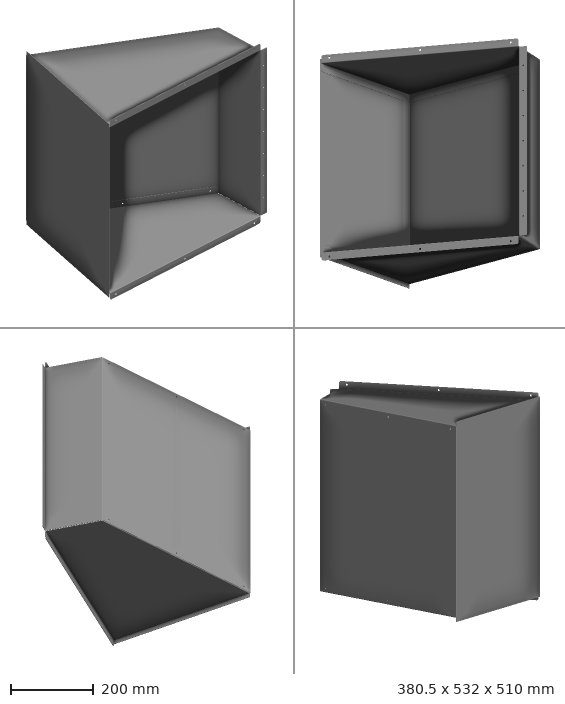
import cadquery as cq
import math

sheet = 1.2
bend_inner = 0.5
bend_outer = bend_inner + sheet

overall_height = 510.0
half_height = 236.0
wrap_half = 234.4
plate_half = 246.0
joint_bottom = 215.0
flange_half = joint_bottom

side_depth = 147.0
tab_tip = (-380.47, -421.0)
front_y = -511.96
plate_setback = 1.5

wrap_mount_width = 20.0
front_flange = 30.0
flange_setback = 1.5
flange_corner = 5.0
wrap_mount_corner = 2.0
mount_gap = 2.0
mount_end = 4.0

mount_hole = 5.0
mount_hole_height = 247.0
mount_hole_margin = 20.0
wrap_mount_hole = 3.7
wrap_mount_pitch = 62.3
wrap_mount_count = 7
joint_hole = 4.0
joint_hole_height = 225.4
joint_hole_margin = 21.0
joint_hole_count = 3


def along(start, end, distance):
    """Point at a distance from start towards end."""
    length = math.dist(start, end)
    return tuple(a + (b - a) * distance / length for a, b in zip(start, end))


def shifted(start, end, distance):
    """The segment moved sideways to its left."""
    length = math.dist(start, end)
    dx = -(end[1] - start[1]) * distance / length
    dy = (end[0] - start[0]) * distance / length
    return (start[0] + dx, start[1] + dy), (end[0] + dx, end[1] + dy)


def crossing(first, second):
    """Point where two straight lines cross."""
    (x1, y1), (x2, y2) = first
    (x3, y3), (x4, y4) = second
    ax, ay, bx, by = x2 - x1, y2 - y1, x4 - x3, y4 - y3
    k = ((x3 - x1) * by - (y3 - y1) * bx) / (ax * by - ay * bx)
    return x1 + k * ax, y1 + k * ay


def thickened(path):
    """Closed outline of a sheet whose right-hand face follows the path, and its left-hand bend points."""
    rails = [shifted(a, b, sheet) for a, b in zip(path, path[1:])]
    bends = [crossing(a, b) for a, b in zip(rails, rails[1:])]
    inner = [rails[0][0], *bends, rails[-1][1]]
    return path + inner[::-1], bends


def prism(points, bottom, top):
    return cq.Workplane("XY").workplane(offset=bottom).polyline(points).close().extrude(top - bottom)


def near(point, reach=0.1):
    """Selector for edges centred near a plan point, at any height."""
    x, y = point
    return cq.selectors.BoxSelector(
        (x - reach, y - reach, -overall_height), (x + reach, y + reach, overall_height)
    )


mount_corner_point = (0.0, 0.0)
side_corner = (-side_depth, 0.0)
nose = along(tab_tip, side_corner, sheet)

plate_corner = (0.0, front_y)
corner_slope = math.atan2(nose[1] - front_y, -nose[0])
front_slope = corner_slope - math.asin(sheet / math.dist(nose, plate_corner))
front_inner_end = (0.0, front_y + sheet / math.cos(front_slope))
front_normal = cq.Vector(-math.sin(front_slope), -math.cos(front_slope), 0)

side_line = shifted(mount_corner_point, side_corner, sheet)
slant_line = shifted(side_corner, nose, sheet)
front_line = (nose, front_inner_end)
inner_nose = crossing(slant_line, front_line)
slant_face = (crossing(side_line, slant_line), inner_nose)
front_face = (inner_nose, front_inner_end)


def wall_hole(start, end, distance, height, diameter):
    """Cylinder that drills through the wall running from start to end."""
    angle = math.atan2(end[1] - start[1], end[0] - start[0])
    axis = cq.Vector(-math.sin(angle), math.cos(angle), 0)
    reach = 3 * sheet
    middle = cq.Vector(*along(start, end, distance), height)
    return cq.Solid.makeCylinder(diameter / 2, 2 * reach, middle - axis * reach, axis)


def drill_joint(body, height):
    """Drill the row of holes that joins the slanted wall to an end panel."""
    pitch = (math.dist(side_corner, nose) - 2 * joint_hole_margin) / (joint_hole_count - 1)
    for i in range(joint_hole_count):
        body = body.cut(wall_hole(side_corner, nose, joint_hole_margin + i * pitch, height, joint_hole))
    return body


def folded_sheet(path, half_width):
    """Sheet folded along the path; the first fold turns outwards, the others inwards."""
    outline, left_bends = thickened(path)
    folded = prism(outline, -half_width, half_width)
    for i, (right, left) in enumerate(zip(path[1:-1], left_bends)):
        right_radius, left_radius = (bend_inner, bend_outer) if i == 0 else (bend_outer, bend_inner)
        folded = folded.edges("|Z").edges(near(right)).fillet(right_radius)
        folded = folded.edges("|Z").edges(near(left)).fillet(left_radius)
    return folded


def make_wrap():
    walls = [(-sheet, wrap_mount_width), (-sheet, 0.0), side_corner]
    flange_tip = along(nose, front_inner_end, front_flange)

    wrap = folded_sheet(walls + [nose, flange_tip], flange_half)
    tip_edges = wrap.edges(near(flange_tip, 2 * sheet)).edges(cq.selectors.ParallelDirSelector(front_normal))
    wrap = tip_edges.fillet(flange_corner)
    full_walls = folded_sheet(walls + [tab_tip], wrap_half)
    full_walls = full_walls.edges("|X and >Y").fillet(wrap_mount_corner)
    wrap = wrap.union(full_walls)

    for i in range(wrap_mount_count):
        height = (i - (wrap_mount_count - 1) / 2) * wrap_mount_pitch
        wrap = wrap.cut(wall_hole((0, 0), (0, wrap_mount_width), wrap_mount_width / 2, height, wrap_mount_hole))
    for side in (1, -1):
        wrap = drill_joint(wrap, side * joint_hole_height)
    return wrap


def bent_flange(start, end, direction, tip_height):
    """Bend and flange along a line of the plan; direction is 1 for upwards, -1 for downwards."""
    run = cq.Vector(*end, 0) - cq.Vector(*start, 0)
    inwards = cq.Vector(-run.y, run.x, 0)
    outer_face = half_height if direction < 0 else half_height - sheet
    inner_face = outer_face + direction * sheet
    bend_end = outer_face + direction * bend_outer
    turn = 1 - math.sqrt(0.5)
    outer_middle = (bend_outer * turn, outer_face + direction * bend_outer * turn)
    inner_middle = (sheet + bend_inner * turn, inner_face + direction * bend_inner * turn)
    plane = cq.Plane(origin=(*start, 0), xDir=inwards, normal=run)
    body = (
        cq.Workplane(plane)
        .moveTo(bend_outer, outer_face)
        .threePointArc(outer_middle, (0, bend_end))
        .lineTo(0, tip_height)
        .lineTo(sheet, tip_height)
        .lineTo(sheet, bend_end)
        .threePointArc(inner_middle, (bend_outer, inner_face))
        .close()
        .extrude(run.Length)
    )
    tip = ">Z" if direction > 0 else "<Z"
    return body.faces(tip).edges(cq.selectors.ParallelDirSelector(inwards)).fillet(flange_corner)


def joining_flange(start, end):
    """Flange turned towards mid height, inside the wall it joins."""
    first = along(start, end, flange_setback)
    last = along(end, start, flange_setback)
    return bent_flange(first, last, -1, joint_bottom)


def mounting_flange():
    """Outward flange on the mounting plane, with its row of holes."""
    start = (0.0, front_y + mount_end)
    end = (0.0, -mount_gap)
    body = bent_flange(start, end, 1, overall_height / 2)
    length = math.dist(start, end)
    for distance in (mount_hole_margin, length / 2, length - mount_hole_margin):
        body = body.cut(wall_hole(start, end, distance, mount_hole_height, mount_hole))
    return body


def make_end_panel():
    side_edge = shifted(mount_corner_point, side_corner, sheet)
    slant_edge = shifted(*slant_face, bend_outer)
    front_edge = shifted(*front_face, bend_outer)
    mount_edge = ((-bend_outer, front_y), (-bend_outer, 0.0))
    edges = [mount_edge, side_edge, slant_edge, front_edge]
    corners = [crossing(edges[i - 1], edges[i]) for i in range(len(edges))]
    panel = prism(corners, half_height - sheet, half_height)
    panel = panel.union(joining_flange(*slant_face))
    panel = panel.union(joining_flange(*front_face))
    panel = panel.union(mounting_flange())
    return drill_joint(panel, joint_hole_height)


def make_front_plate():
    start = along(nose, front_inner_end, plate_setback)
    outer_start = shifted(start, front_inner_end, -sheet)[0]
    return prism([start, front_inner_end, plate_corner, outer_start], -plate_half, plate_half)


wrap = make_wrap()
top_panel = make_end_panel()
bottom_panel = top_panel.mirror("XY")
front_plate = make_front_plate()

result = cq.Compound.makeCompound(
    [
        *wrap.solids().vals(),
        *top_panel.solids().vals(),
        *bottom_panel.solids().vals(),
        *front_plate.solids().vals(),
    ]
)